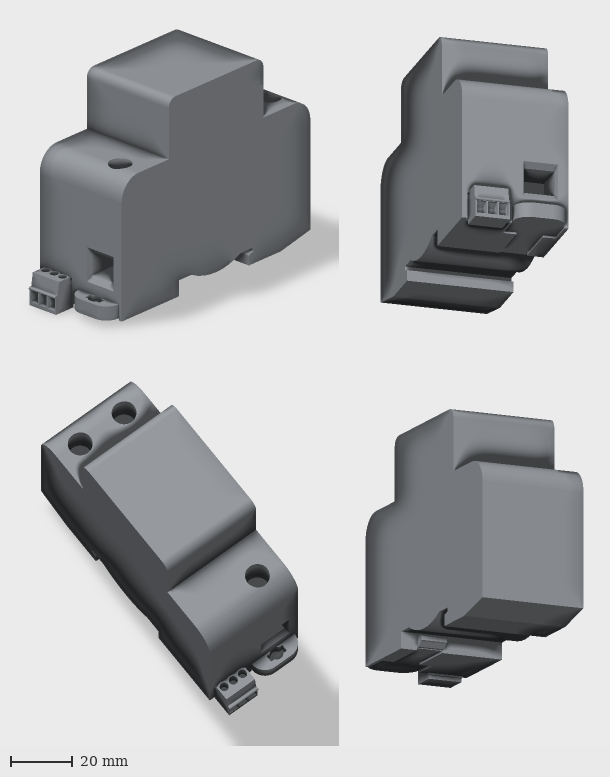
import cadquery as cq


overall_length = 97.9

width = 35.9
depth = 90.1
height = 71.3
shoulder_height = 50.0
shoulder_radius = 8.0
tower_depth = 45.1
tower_radius = 3.1
ramp_start = 75.9
ramp_height = 3.0
middle_y = depth / 2
tower_front = middle_y - tower_depth / 2
tower_back = middle_y + tower_depth / 2

notch_front = 27.4
notch_back = 62.95
notch_height = 5.7
bulge_half_length = 11.7
bulge_drop = 2.9
lip_y = 60.7
lip_height = 3.7
lip_root_height = 4.3
lip_radius = 0.6

terminal_x = 8.6
second_terminal_x = -9.2
access_diameter = 8.0
access_depth = 11.7
access_setback = 9.5

entry_z = 15.7
entry_mouth = (11.65, 12.1)
entry_shaft = (10.3, 8.4)
entry_mouth_depth = 1.8
entry_shaft_depth = 11.7

window_length = 10.0
window_width = 5.3
window_thickness = 1.0
window_spacing = 18.3

latch_x = 7.8
latch_width = 17.3
latch_side_gap = 0.2
latch_reach = 5.3
latch_seat = 9.8
latch_bottom = 0.7
latch_top = notch_height
tail_width = 9.0
hook_reach = 3.7
hook_blunting = 0.6
hook_flat = 1.5
hook_bottom = 0.9
hook_root_top = 5.1
hook_slope_end = 4.2
hook_tip_bottom = 2.6
slot_length = 6.4
slot_width = 2.4
slot_bore_radius = 2.2
slot_offset = 1.9
slot_depth = 3.9

plug_x = -9.9
plug_width = 11.6
plug_bottom = -1.9
plug_top = 9.3
plug_top_reach = 5.9
ledge_reach = 6.6
ledge_height = 4.7
face_reach = 7.3
nose_reach = overall_length - depth
nose_radius = nose_reach - face_reach
plug_back = 1.6
heel_back = 1.0
heel_height = -0.6
rebate_reach = 0.6
rebate_depth = 2.2
rebate_height = plug_top - rebate_depth
pole_count = 3
pole_pitch = 3.7
screw_offset = 2.0
screw_radius = 1.5
screw_depth = 3.9
collar_radius = 2.0
wire_mouth = (3.1, 4.2)
wire_end = (2.0, 2.6)
wire_bottom = -0.6
wire_mouth_depth = 0.9
wire_taper_depth = 1.4

recess_x = -10.0
recess_width = 12.4
recess_top = 8.8


def block(x_middle, x_size, y_range, z_range):
    """Box centred on x_middle that spans the given Y and Z ranges."""
    y_size = y_range[1] - y_range[0]
    z_size = z_range[1] - z_range[0]
    return (
        cq.Workplane("XY")
        .box(x_size, y_size, z_size, centered=(True, False, False))
        .translate((x_middle, y_range[0], z_range[0]))
    )


def upright_cylinder(x, y, radius, z_range):
    """Vertical cylinder between two heights."""
    return (
        cq.Workplane("XY", origin=(x, y, z_range[0]))
        .circle(radius)
        .extrude(z_range[1] - z_range[0])
    )


def taper(x, y, mouth, mouth_z, end, end_z, length):
    """Rectangular funnel that runs from y in the +Y direction."""
    return (
        cq.Workplane("XZ", origin=(x, y, 0))
        .center(0, mouth_z)
        .rect(*mouth)
        .workplane(offset=-length)
        .center(0, end_z - mouth_z)
        .rect(*end)
        .loft(ruled=True)
    )


def window_positions():
    return [(side * window_spacing / 2, middle_y) for side in (-1, 1)]


def make_window(x, y):
    y_range = (y - window_width / 2, y + window_width / 2)
    return block(x, window_length, y_range, (height - window_thickness, height))


def pole_positions():
    first = plug_x - pole_pitch * (pole_count - 1) / 2
    return [first + pole_pitch * i for i in range(pole_count)]


def housing_body():
    """Side profile extruded across the width, then rounded."""
    body = (
        cq.Workplane("YZ", origin=(-width / 2, 0, 0))
        .moveTo(0, 0)
        .lineTo(0, shoulder_height)
        .lineTo(tower_front, shoulder_height)
        .lineTo(tower_front, height)
        .lineTo(tower_back, height)
        .lineTo(tower_back, shoulder_height)
        .lineTo(depth, shoulder_height)
        .lineTo(depth, ramp_height)
        .lineTo(ramp_start, 0)
        .lineTo(lip_y, 0)
        .lineTo(lip_y, lip_height)
        .lineTo(notch_back, lip_root_height)
        .lineTo(notch_back, notch_height)
        .lineTo(middle_y + bulge_half_length, notch_height)
        .threePointArc(
            (middle_y, notch_height - bulge_drop),
            (middle_y - bulge_half_length, notch_height),
        )
        .lineTo(notch_front, notch_height)
        .lineTo(notch_front, 0)
        .close()
        .extrude(width)
    )
    rounded_edges = [
        (0, shoulder_height, shoulder_radius),
        (depth, shoulder_height, shoulder_radius),
        (tower_front, height, tower_radius),
        (tower_back, height, tower_radius),
        (lip_y, lip_height, lip_radius),
    ]
    for y, z, radius in rounded_edges:
        body = body.edges(cq.NearestToPointSelector((0, y, z))).fillet(radius)
    return body


def access_holes():
    places = [
        (terminal_x, access_setback),
        (terminal_x, depth - access_setback),
        (second_terminal_x, depth - access_setback),
    ]
    z_range = (shoulder_height - access_depth, shoulder_height)
    holes = cq.Workplane("XY")
    for x, y in places:
        holes = holes.union(upright_cylinder(x, y, access_diameter / 2, z_range))
    return holes


def wire_entry():
    mouth = taper(terminal_x, 0, entry_mouth, entry_z, entry_shaft, entry_z, entry_mouth_depth)
    shaft_width, shaft_height = entry_shaft
    shaft = block(
        terminal_x,
        shaft_width,
        (entry_mouth_depth, entry_mouth_depth + entry_shaft_depth),
        (entry_z - shaft_height / 2, entry_z + shaft_height / 2),
    )
    return mouth.union(shaft)


def latch_channel():
    """Stepped channel, open below, from the front face to the rail notch."""
    seat_width = latch_width + 2 * latch_side_gap
    seat = block(latch_x, seat_width, (0, latch_seat), (0, latch_top))
    guide = block(latch_x, tail_width, (latch_seat, notch_front), (0, latch_top))
    return seat.union(guide)


def make_housing():
    housing = housing_body()
    housing = housing.cut(access_holes())
    housing = housing.cut(wire_entry())
    housing = housing.cut(latch_channel())
    housing = housing.cut(block(recess_x, recess_width, (0, plug_back), (0, recess_top)))
    for x, y in window_positions():
        housing = housing.cut(make_window(x, y))
    return housing


def latch_hook():
    """Beak that reaches from the channel into the rail notch."""
    tip_y = notch_front + hook_reach
    blunt_y = tip_y - hook_blunting
    return (
        cq.Workplane("YZ", origin=(latch_x - tail_width / 2, 0, 0))
        .moveTo(notch_front, hook_bottom)
        .lineTo(notch_front, hook_root_top)
        .lineTo(blunt_y, hook_slope_end)
        .lineTo(tip_y, hook_slope_end - hook_blunting)
        .lineTo(tip_y, hook_tip_bottom)
        .lineTo(blunt_y, hook_tip_bottom - hook_blunting / 2)
        .lineTo(notch_front + hook_flat, hook_bottom)
        .close()
        .extrude(tail_width)
    )


def driver_slot():
    """Blind slot with a round bore in the middle, for a screwdriver."""
    z_range = (latch_top - slot_depth, latch_top)
    y_range = (-slot_offset - slot_width / 2, -slot_offset + slot_width / 2)
    slot = block(latch_x, slot_length, y_range, z_range)
    return slot.union(upright_cylinder(latch_x, -slot_offset, slot_bore_radius, z_range))


def make_latch():
    z_range = (latch_bottom, latch_top)
    latch = block(latch_x, latch_width, (-latch_reach, latch_seat), z_range)
    latch = latch.edges("|Z and <Y").fillet(latch_reach)
    latch = latch.union(block(latch_x, tail_width, (latch_seat, notch_front), z_range))
    return latch.union(latch_hook()).cut(driver_slot())


def plug_body():
    """Side profile with the rebate, the sloped front and the half-round nose."""
    nose_z = ledge_height - nose_radius
    return (
        cq.Workplane("YZ", origin=(plug_x - plug_width / 2, 0, 0))
        .moveTo(heel_back, plug_bottom)
        .lineTo(heel_back, heel_height)
        .lineTo(plug_back, heel_height)
        .lineTo(plug_back, rebate_height)
        .lineTo(-rebate_reach, rebate_height)
        .lineTo(-rebate_reach, plug_top)
        .lineTo(-plug_top_reach, plug_top)
        .lineTo(-ledge_reach, ledge_height)
        .lineTo(-face_reach, ledge_height)
        .threePointArc((-nose_reach, nose_z), (-face_reach, nose_z - nose_radius))
        .lineTo(-face_reach, plug_bottom)
        .close()
        .extrude(plug_width)
    )


def wire_opening(x):
    """Flat-bottomed opening with a straight mouth that narrows further in."""
    mouth_width, mouth_height = wire_mouth
    mouth_end = wire_mouth_depth - face_reach
    mouth_range = (wire_bottom, wire_bottom + mouth_height)
    mouth = block(x, mouth_width, (-face_reach, mouth_end), mouth_range)
    funnel = taper(
        x,
        mouth_end,
        wire_mouth,
        wire_bottom + mouth_height / 2,
        wire_end,
        wire_bottom + wire_end[1] / 2,
        wire_taper_depth,
    )
    return mouth.union(funnel)


def make_plug():
    plug = plug_body()
    collar_range = (rebate_height, plug_top)
    screw_range = (plug_top - screw_depth, plug_top)
    for x in pole_positions():
        plug = plug.union(upright_cylinder(x, -screw_offset, collar_radius, collar_range))
    for x in pole_positions():
        plug = plug.cut(upright_cylinder(x, -screw_offset, screw_radius, screw_range))
        plug = plug.cut(wire_opening(x))
    return plug


housing = make_housing()
windows = [make_window(x, y) for x, y in window_positions()]
latch = make_latch()
plug = make_plug()

result = cq.Compound.makeCompound(
    [housing.val(), *[window.val() for window in windows], latch.val(), plug.val()]
)